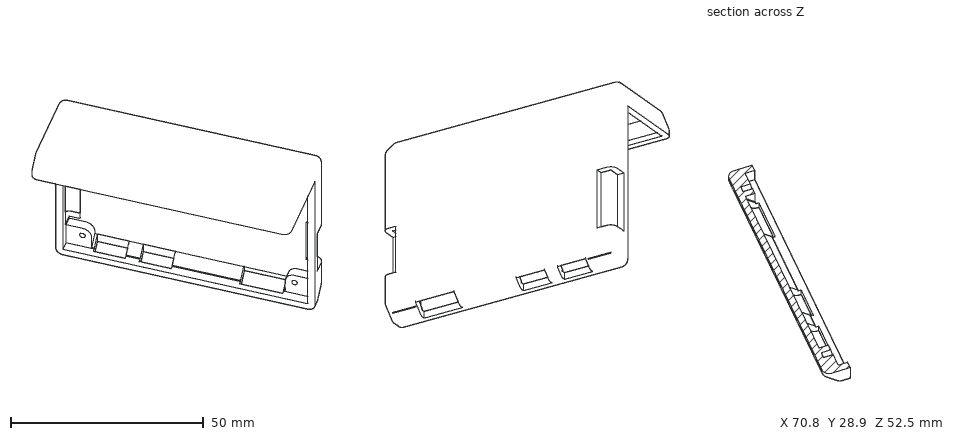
import cadquery as cq
import math

WIDTH = 70.8
DEPTH = 28.9
HEIGHT = 52.5
WALL = 2.0
CAVITY_CHAMFER = 3.0

BACK_DEPTH = 7.2
HOOD_HEIGHT = 6.4

BOSS_FRONT_Y = -4.6

WINDOW_DEPTH = 5.25
SLOT_DEPTH = 5.45

SIDE_WINDOWS = [
    (-1, 9.15, 25.9, 4.95),
    (1, 12.45, 25.7, 4.1),
]

BOTTOM_SLOTS = [
    (9.7, 18.35, 0.1),
    (22.25, 30.95, 0.1),
    (49.65, 61.4, 0.7),
]

BOSS_RADIUS = 2.55
SCREW_DIAMETER = 1.5
SCREW_FROM_SIDE = 6.45
SCREW_HEIGHT = 5.9

CAVITY_WIDTH = WIDTH - 2 * WALL
CAVITY_BACK_Y = -WALL
BOSS_LENGTH = CAVITY_BACK_Y - BOSS_FRONT_Y


def block(x_range, y_range, z_range):
    """Axis-aligned box between the given limits."""
    (x0, x1), (y0, y1), (z0, z1) = x_range, y_range, z_range
    return cq.Workplane("XY").box(x1 - x0, y1 - y0, z1 - z0, centered=False).translate((x0, y0, z0))


def closed_case():
    """Hollow bevelled case whose outside is the cavity grown by a rolling ball."""
    cavity = (
        block(
            (-CAVITY_WIDTH / 2, CAVITY_WIDTH / 2),
            (-DEPTH + WALL, CAVITY_BACK_Y),
            (WALL, HEIGHT - WALL),
        )
        .edges("|X")
        .chamfer(CAVITY_CHAMFER)
    )
    return cavity.shell(WALL, kind="arc")


def front_cutaway():
    """Block that opens the case below the hood and in front of the back panel."""
    return block((-WIDTH, WIDTH), (-2 * DEPTH, -BACK_DEPTH), (-HEIGHT, HEIGHT - HOOD_HEIGHT))


def floor_recess():
    """Squares off the foot of the cavity bevel in front of the bosses."""
    return block(
        (-CAVITY_WIDTH / 2, CAVITY_WIDTH / 2),
        (-BACK_DEPTH, BOSS_FRONT_Y),
        (WALL, WALL + CAVITY_CHAMFER),
    )


def boss(side):
    """Corner block with one rounded corner, concentric with its screw hole."""
    wall_x = side * CAVITY_WIDTH / 2
    screw_x = side * (WIDTH / 2 - SCREW_FROM_SIDE)
    inner_x = screw_x - side * BOSS_RADIUS
    top = SCREW_HEIGHT + BOSS_RADIUS
    bottom = WALL
    arc = BOSS_RADIUS * math.sqrt(0.5)
    return (
        cq.Workplane("XZ", origin=(0, CAVITY_BACK_Y, 0))
        .moveTo(wall_x, bottom)
        .lineTo(wall_x, top)
        .lineTo(screw_x, top)
        .threePointArc((screw_x - side * arc, SCREW_HEIGHT + arc), (inner_x, SCREW_HEIGHT))
        .lineTo(inner_x, bottom)
        .close()
        .extrude(BOSS_LENGTH)
    )


def screw_hole(side):
    """Blind hole as deep as the boss."""
    return (
        cq.Workplane("XZ", origin=(side * (WIDTH / 2 - SCREW_FROM_SIDE), CAVITY_BACK_Y, SCREW_HEIGHT))
        .circle(SCREW_DIAMETER / 2)
        .extrude(BOSS_LENGTH)
    )


def side_window(side, bottom, top, reach):
    """Opening through the back corner of one side wall."""
    x_range = sorted((side * WIDTH / 2, side * (WIDTH / 2 - reach)))
    return block(x_range, (-WINDOW_DEPTH, 0), (bottom, top))


def bottom_slot(start, end, extra):
    """Opening through the bevelled lower wall."""
    return block(
        (start - WIDTH / 2, end - WIDTH / 2),
        (-SLOT_DEPTH, CAVITY_BACK_Y + extra),
        (0, WALL + CAVITY_CHAMFER),
    )


result = closed_case().cut(front_cutaway()).cut(floor_recess())
for side in (-1, 1):
    result = result.union(boss(side)).cut(screw_hole(side))
for window in SIDE_WINDOWS:
    result = result.cut(side_window(*window))
for slot in BOTTOM_SLOTS:
    result = result.cut(bottom_slot(*slot))